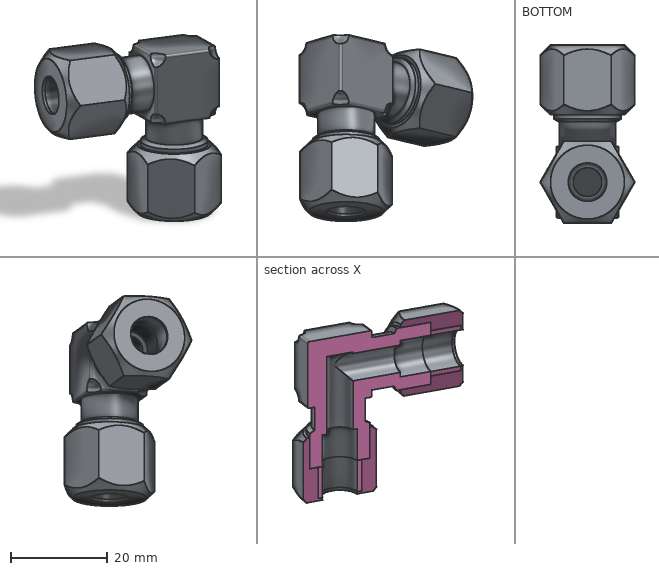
import cadquery as cq
import math


reach = 28.5
nut_length = 14.5
nut_start = reach - nut_length
neck_end = 12.5
port_end = 21.0
tube_stop = nut_start

block_width = 13.0
block_side = 14.95
block_edge_radius = 0.48
corner_scoop_radius = 2.4
neck_diameter = 11.85
thread_diameter = 14.0
thread_taper_angle = 30
passage_diameter = 6.0
passage_overrun = 3.33
tube_diameter = 8.0

across_flats = 17.02
across_corners = across_flats / math.cos(math.radians(30))
nut_face_diameter = 15.35
nut_chamfer_angle = 45
nut_lip = 0.63

ring_diameter = 10.0
ring_outer_end = reach - nut_lip

port_turns = [0, -90]


def cylinder(diameter, start, end):
    """Cylinder on the port axis between two distances from the origin."""
    return cq.Workplane("XY").workplane(offset=-end).circle(diameter / 2).extrude(end - start)


def turned(shape, angle, axis=(1, 0, 0)):
    """Turn a shape about an axis through the origin, the X axis unless another is given."""
    return shape.rotate((0, 0, 0), axis, angle)


def make_block():
    """Block with rounded edges and a spherical scoop at each corner."""
    block = cq.Workplane("XY").box(block_width, block_side, block_side)
    corners = block.vertices().vals()
    block = block.edges().fillet(block_edge_radius)
    for corner in corners:
        outward_angle = math.degrees(math.atan2(corner.Center().y, corner.Center().x))
        scoop = turned(cq.Workplane("XY").sphere(corner_scoop_radius), outward_angle, (0, 0, 1))
        block = block.cut(scoop.translate(corner.toTuple()))
    return block


def make_threaded_end():
    """Neck that widens through a taper to the thread diameter."""
    neck_radius = neck_diameter / 2
    thread_radius = thread_diameter / 2
    taper_length = (thread_radius - neck_radius) * math.tan(math.radians(thread_taper_angle))
    profile = (
        cq.Workplane("XZ")
        .lineTo(neck_radius, 0)
        .lineTo(neck_radius, -neck_end)
        .lineTo(thread_radius, -neck_end - taper_length)
        .lineTo(thread_radius, -port_end)
        .lineTo(0, -port_end)
        .close()
    )
    return profile.revolve(360, (0, 0, 0), (0, 1, 0))


def make_elbow():
    """Block with both threaded ends, the tube seats and the bent passage."""
    elbow = make_block()
    for angle in port_turns:
        elbow = elbow.union(turned(make_threaded_end(), angle))
    for angle in port_turns:
        elbow = elbow.cut(turned(cylinder(tube_diameter, tube_stop, port_end), angle))

    vertical_passage = cylinder(passage_diameter, -passage_overrun, tube_stop)
    horizontal_passage = turned(cylinder(passage_diameter, 0, tube_stop), port_turns[1])
    return elbow.cut(vertical_passage).cut(horizontal_passage)


def make_nut_envelope():
    """Turned body that chamfers the hexagon corners at both ends."""
    face_radius = nut_face_diameter / 2
    corner_radius = across_corners / 2
    chamfer_length = (corner_radius - face_radius) * math.tan(math.radians(nut_chamfer_angle))
    profile = (
        cq.Workplane("XZ")
        .moveTo(0, -nut_start)
        .lineTo(face_radius, -nut_start)
        .lineTo(corner_radius, -nut_start - chamfer_length)
        .lineTo(corner_radius, -reach + chamfer_length)
        .lineTo(face_radius, -reach)
        .lineTo(0, -reach)
        .close()
    )
    return profile.revolve(360, (0, 0, 0), (0, 1, 0))


def make_nut():
    """Hexagon nut with bores for the threaded end, the ring and the tube."""
    hexagon = cq.Workplane("XY").workplane(offset=-reach).polygon(6, across_corners).extrude(nut_length)
    nut = hexagon.intersect(make_nut_envelope())
    nut = nut.cut(cylinder(thread_diameter, nut_start, port_end))
    nut = nut.cut(cylinder(ring_diameter, port_end, ring_outer_end))
    return nut.cut(cylinder(tube_diameter, ring_outer_end, reach))


def make_ring():
    """Ring held between the end of the elbow and the lip of the nut."""
    ring = cylinder(ring_diameter, port_end, ring_outer_end)
    return ring.cut(cylinder(tube_diameter, port_end, ring_outer_end))


elbow = make_elbow()
nuts = [turned(make_nut(), angle) for angle in port_turns]
rings = [turned(make_ring(), angle) for angle in port_turns]

result = cq.Compound.makeCompound(
    [
        elbow.solids().val(),
        *[nut.solids().val() for nut in nuts],
        *[ring.solids().val() for ring in rings],
    ]
)